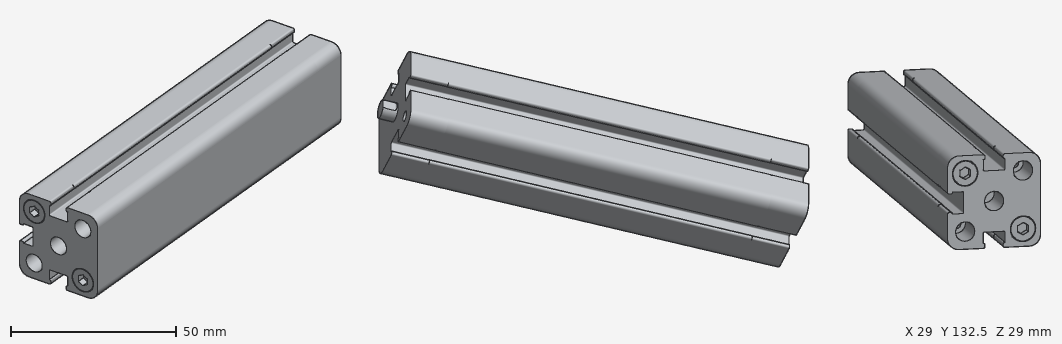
import cadquery as cq


total_length = 132.5
side = 29.0
corner_radius = 3.6
rod_length = 4.6
cap_length = 12.0
rear_face = total_length - rod_length
body_length = rear_face - 2 * cap_length

slot_width = 6.8
slot_depth = 5.0
slot_corner_radius = 0.4
lip_height = 1.6
cap_lip_radius = 0.5
body_lip_radius = 0.7
slot_angles = (0, 90, 180)

rod_diameter = 6.0
rod_flat_width = 5.0
rod_flat_length = 3.6
rod_flat_runout = 0.8
rod_chamfer_length = 1.0
rod_chamfer_height = 0.1

corner_offset = 9.0
hole_diameter = 6.0
hole_depth = cap_length
through_diameter = 3.2
screw_recess_diameter = 8.0
screw_head_diameter = 7.5
screw_head_height = 4.0
socket_width = 3.3
socket_depth = 2.6
hole_spots = [(corner_offset, corner_offset), (-corner_offset, -corner_offset)]
screw_spots = [(-corner_offset, corner_offset), (corner_offset, -corner_offset)]


def section_plane(y):
    """Plane across the part at y: local X is X, local Y is Z; a negative extrusion runs toward +Y."""
    return cq.Workplane("XZ", origin=(0, y, 0))


def lip_pair(start, length, lip_radius):
    """Lips at the mouth of the top slot: a flat nose with a quarter round above and below it."""
    return (
        section_plane(start)
        .center(0, (side - lip_height) / 2)
        .pushPoints([(-slot_width / 2, 0), (slot_width / 2, 0)])
        .slot2D(lip_height, 2 * lip_radius, 90)
        .extrude(-length)
    )


def top_slot(start, length, lip_radius):
    """Cutter for the slot in the top side, leaving the lips at its mouth."""
    slot = (
        section_plane(start)
        .center(0, (side - slot_depth) / 2)
        .rect(slot_width, slot_depth)
        .extrude(-length)
        .faces("<Z")
        .edges("|Y")
        .fillet(slot_corner_radius)
    )
    return slot.cut(lip_pair(start, length, lip_radius))


def slotted_bar(start, length, lip_radius):
    """Square bar with rounded long edges and slots in three of its sides."""
    bar = section_plane(start).rect(side, side).extrude(-length).edges("|Y").fillet(corner_radius)
    slot = top_slot(start, length, lip_radius)
    for angle in slot_angles:
        bar = bar.cut(slot.rotate((0, 0, 0), (0, 1, 0), -angle))
    return bar


def front_bores(diameter, depth, spots):
    """Round cutters going in from the front face at the (x, z) spots."""
    return section_plane(0).pushPoints(spots).circle(diameter / 2).extrude(-depth)


def screw_cuts():
    """Clearance ring around each sunk screw head, and its hexagon socket with a corner at the top."""
    recesses = front_bores(screw_recess_diameter, screw_head_height, screw_spots)
    heads = front_bores(screw_head_diameter, screw_head_height, screw_spots)
    cuts = recesses.cut(heads)
    for x, z in screw_spots:
        socket = (
            section_plane(0)
            .center(x, z)
            .polygon(6, socket_width, circumscribed=True)
            .extrude(-socket_depth)
        )
        cuts = cuts.union(socket)
    return cuts


def rod_end():
    """Chamfered piston rod end with wrench flats facing -X and +X."""
    rod = (
        section_plane(rear_face)
        .circle(rod_diameter / 2)
        .extrude(-rod_length)
        .faces(">Y")
        .chamfer(rod_chamfer_length, rod_chamfer_height)
    )
    flat_cut = (
        cq.Workplane("XY")
        .box(rod_diameter, 2 * (rod_flat_length + rod_flat_runout), rod_diameter)
        .edges("|Z and >X")
        .fillet(rod_flat_runout)
    )
    reach = (rod_flat_width + rod_diameter) / 2
    flat_cut = flat_cut.translate((-reach, total_length, 0))
    return rod.cut(flat_cut).cut(flat_cut.mirror("YZ"))


front_cap = slotted_bar(0, cap_length, cap_lip_radius)
body = slotted_bar(cap_length, body_length, body_lip_radius)
rear_cap = slotted_bar(rear_face - cap_length, cap_length, cap_lip_radius)

result = (
    front_cap.union(body, clean=False)
    .union(rear_cap, clean=False)
    .union(rod_end(), clean=False)
    .cut(front_bores(hole_diameter, hole_depth, hole_spots + [(0, 0)]), clean=False)
    .cut(front_bores(through_diameter, rear_face, hole_spots), clean=False)
    .cut(screw_cuts(), clean=False)
)